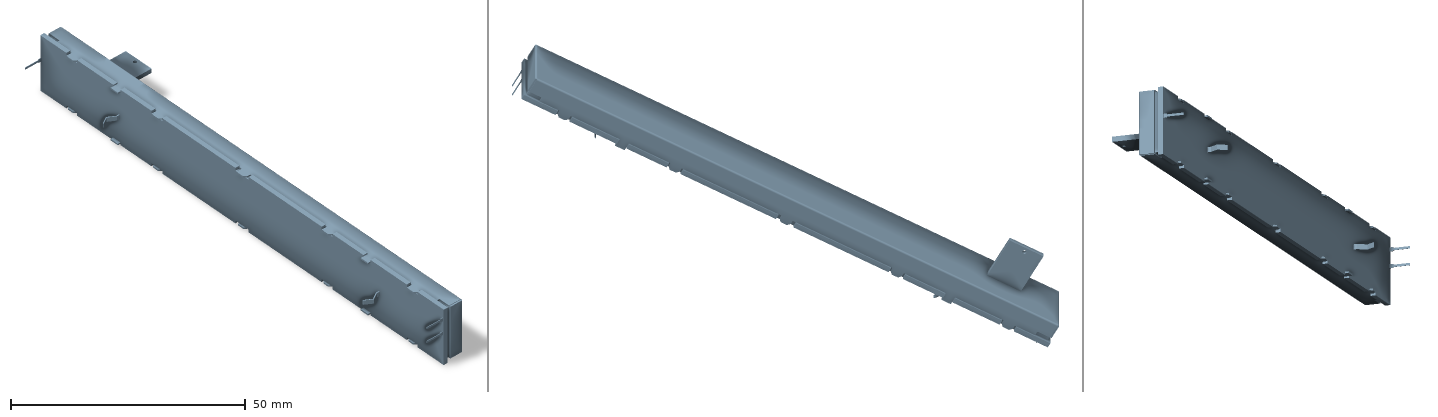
import cadquery as cq


BOARD_LENGTH = 128.0
BOARD_HEIGHT = 15.0
BOARD_FRONT = 4.6
BOARD_THICKNESS = 1.2
BOARD_BACK = BOARD_FRONT + BOARD_THICKNESS

HOUSING_LENGTH = 127.5
HOUSING_HEIGHT = 14.2
HOUSING_BACK = 10.4
HOUSING_DEPTH = HOUSING_BACK - BOARD_BACK
BEND_RADIUS = 0.4
STEP_DEPTH = 0.4
STEP_LENGTH = 3.5
STEP_RISE = 1.0
END_WALL_THICKNESS = 0.4
END_WALL_INSET = 0.1

TAB_THICKNESS = 0.4
CRIMP_TAB_SPACING = 27.0
CRIMP_TAB_X = [i * CRIMP_TAB_SPACING for i in (-2, -1, 0, 1, 2)]
CRIMP_TAB_WIDTH = 2.7
CRIMP_TIP_WIDTH = 1.5
CRIMP_TAPER_START = BOARD_FRONT + 0.3
CRIMP_TAB_REACH = 0.4
CRIMP_NOTCH_WIDTH = 3.5
CENTRE_NOTCH_WIDTH = 4.2
SQUARE_TAB_X = (-39.7, 39.7)
SQUARE_TAB_WIDTH = 2.3
SQUARE_TAB_REACH = 0.8
TAB_INNER_Z = HOUSING_HEIGHT / 2 - TAB_THICKNESS
NOTCH_DEPTH = BOARD_HEIGHT / 2 - TAB_INNER_Z

LEVER_X = -50.2
LEVER_WIDTH = 8.2
LEVER_THICKNESS = 1.2
LEVER_END = 20.4
LEVER_HOLE_DIAMETER = 0.9
LEVER_HOLE_INSET = 1.0

TERMINAL_THICKNESS = 0.1
TERMINAL_WIDTH = 0.5
TERMINAL_X = 63.7
SHOULDER_WIDTH = 0.9
SHOULDER_LENGTH = 0.8
INNER_TERMINAL_Z = 1.0
OUTER_TERMINAL_Z = 4.7

CLIP_THICKNESS = 0.3
CLIP_WIDTH = 1.2
CLIP_BEND = 1.2
CLIP_STRAIGHT = 0.8
LEFT_CLIP_X = -38.9
RIGHT_CLIP_X = 43.5


def box(x, y_front, z, length, depth, height):
    """A block centred on x and z that starts at y_front."""
    return cq.Workplane("XY").box(length, depth, height).translate((x, y_front + depth / 2, z))


def make_board():
    board = box(0, BOARD_FRONT, 0, BOARD_LENGTH, BOARD_THICKNESS, BOARD_HEIGHT)
    notches = [(x, CRIMP_NOTCH_WIDTH if x else CENTRE_NOTCH_WIDTH) for x in CRIMP_TAB_X]
    notches += [(x, SQUARE_TAB_WIDTH) for x in SQUARE_TAB_X]
    for x, width in notches:
        for side in (-1, 1):
            z = side * (BOARD_HEIGHT - NOTCH_DEPTH) / 2
            board = board.cut(box(x, BOARD_FRONT, z, width, BOARD_THICKNESS, NOTCH_DEPTH))
    return board


def make_crimp_tab(x):
    """A tab that narrows towards its tip, extruded up from z = 0."""
    tip_y = BOARD_FRONT - CRIMP_TAB_REACH
    return (
        cq.Workplane("XY")
        .moveTo(x - CRIMP_TAB_WIDTH / 2, BOARD_BACK)
        .lineTo(x - CRIMP_TAB_WIDTH / 2, CRIMP_TAPER_START)
        .lineTo(x - CRIMP_TIP_WIDTH / 2, tip_y)
        .lineTo(x + CRIMP_TIP_WIDTH / 2, tip_y)
        .lineTo(x + CRIMP_TAB_WIDTH / 2, CRIMP_TAPER_START)
        .lineTo(x + CRIMP_TAB_WIDTH / 2, BOARD_BACK)
        .close()
        .extrude(TAB_THICKNESS)
    )


def make_square_tab(x):
    """A straight tab that sticks out of the board, standing on z = 0."""
    tab_length = BOARD_THICKNESS + SQUARE_TAB_REACH
    tip_y = BOARD_FRONT - SQUARE_TAB_REACH
    return box(x, tip_y, TAB_THICKNESS / 2, SQUARE_TAB_WIDTH, tab_length, TAB_THICKNESS)


def make_housing():
    housing = box(0, BOARD_BACK, 0, HOUSING_LENGTH, HOUSING_DEPTH, HOUSING_HEIGHT)
    housing = housing.faces(">Y").edges().fillet(BEND_RADIUS)

    core_height = HOUSING_HEIGHT - 2 * STEP_DEPTH
    core_length = STEP_LENGTH - STEP_DEPTH
    for end in (-1, 1):
        end_x = end * (HOUSING_LENGTH - STEP_LENGTH) / 2
        core_x = end_x - end * STEP_DEPTH / 2
        end_zone = box(end_x, BOARD_BACK, 0, STEP_LENGTH, STEP_RISE, HOUSING_HEIGHT)
        core = box(core_x, BOARD_BACK, 0, core_length, STEP_RISE, core_height)
        housing = housing.cut(end_zone.cut(core))

    for end in (-1, 1):
        wall_x = end * (HOUSING_LENGTH - END_WALL_THICKNESS) / 2
        for side in (-1, 1):
            inset_z = side * (HOUSING_HEIGHT - END_WALL_INSET) / 2
            inset = box(wall_x, BOARD_BACK, inset_z, END_WALL_THICKNESS, HOUSING_DEPTH, END_WALL_INSET)
            housing = housing.cut(inset)

    tabs = [make_crimp_tab(x) for x in CRIMP_TAB_X] + [make_square_tab(x) for x in SQUARE_TAB_X]
    for tab in tabs:
        upper_tab = tab.translate((0, 0, TAB_INNER_Z))
        housing = housing.union(upper_tab).union(upper_tab.mirror("XY"))
    return housing


def make_lever():
    lever_length = LEVER_END - HOUSING_BACK
    lever = box(LEVER_X, HOUSING_BACK, 0, LEVER_WIDTH, lever_length, LEVER_THICKNESS)
    hole = (
        cq.Workplane("XY")
        .center(LEVER_X, LEVER_END - LEVER_HOLE_INSET)
        .circle(LEVER_HOLE_DIAMETER / 2)
        .extrude(LEVER_THICKNESS, both=True)
    )
    return lever.cut(hole)


def make_terminal(x, z):
    pin = box(x, 0, z, TERMINAL_THICKNESS, BOARD_FRONT, TERMINAL_WIDTH)
    shoulder_y = BOARD_FRONT - SHOULDER_LENGTH
    return pin.union(box(x, shoulder_y, z, TERMINAL_THICKNESS, SHOULDER_LENGTH, SHOULDER_WIDTH))


def make_clip(x, outward):
    """A bent strip whose bend points along +X or -X, as the sign of `outward` says."""
    knee_y = BOARD_FRONT - CLIP_STRAIGHT
    bend_y = knee_y / 2
    half = CLIP_THICKNESS / 2
    bend_x = x + outward * CLIP_BEND
    return (
        cq.Workplane("XY")
        .moveTo(x - half, BOARD_FRONT)
        .lineTo(x - half, knee_y)
        .lineTo(bend_x - half, bend_y)
        .lineTo(x - half, 0)
        .lineTo(x + half, 0)
        .lineTo(bend_x + half, bend_y)
        .lineTo(x + half, knee_y)
        .lineTo(x + half, BOARD_FRONT)
        .close()
        .extrude(CLIP_WIDTH / 2, both=True)
    )


board = make_board()
housing = make_housing()
lever = make_lever()

terminal_places = [
    (-TERMINAL_X, INNER_TERMINAL_Z),
    (TERMINAL_X, INNER_TERMINAL_Z),
    (TERMINAL_X, OUTER_TERMINAL_Z),
]
terminals = [make_terminal(x, z).val() for x, z in terminal_places]

clip_places = [(LEFT_CLIP_X, -1), (RIGHT_CLIP_X, 1)]
clips = [make_clip(x, outward).val() for x, outward in clip_places]

result = cq.Compound.makeCompound([board.val(), housing.val(), lever.val(), *terminals, *clips])